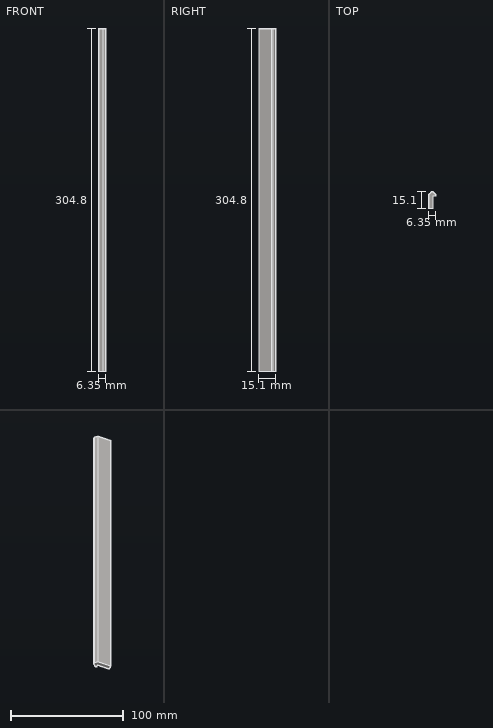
import cadquery as cq

overall_width = 6.35
overall_depth = 15.11
strip_length = 304.8

wall_thickness = 3.9

left_x = -overall_width / 2
right_x = overall_width / 2
bottom_y = -overall_depth / 2
top_y = overall_depth / 2
head_chamfer = overall_width - wall_thickness
shoulder_y = top_y - head_chamfer
head_bottom_y = top_y - wall_thickness
leg_inner_x = left_x + wall_thickness


def cross_section():
    """Flat leg with a chamfered head that overhangs the leg on the +X side."""
    return (
        cq.Workplane("XY", origin=(0, 0, -strip_length / 2))
        .moveTo(left_x, bottom_y)
        .lineTo(left_x, shoulder_y)
        .lineTo(left_x + head_chamfer, top_y)
        .lineTo(right_x - head_chamfer, top_y)
        .lineTo(right_x, shoulder_y)
        .lineTo(right_x, head_bottom_y)
        .lineTo(leg_inner_x, head_bottom_y)
        .lineTo(leg_inner_x, bottom_y)
        .close()
    )


result = cross_section().extrude(strip_length)